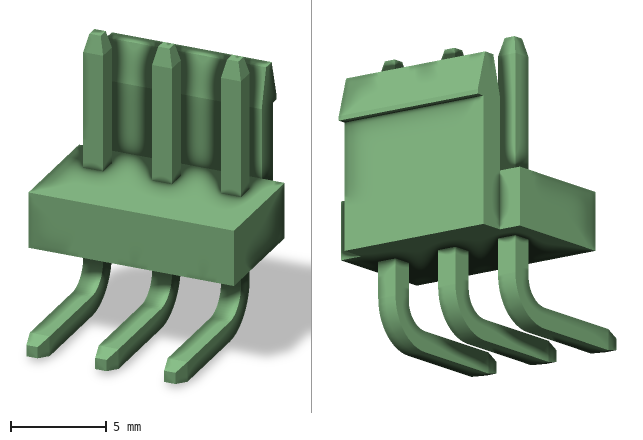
import cadquery as cq


pin_count = 3
pin_pitch = 3.96
pin_width = 1.15
pin_top = 10.9
pin_bottom = -4.56
pin_front = -8.5
tip_length = 1.0
tip_width = 0.65
bend_outer_radius = 2.55
bend_inner_radius = bend_outer_radius - pin_width
half_pin = pin_width / 2
pin_positions = [(i - (pin_count - 1) / 2) * pin_pitch for i in range(pin_count)]

base_length = 11.82
base_height = 3.2
base_front = -4.56
base_back = 2.0

latch_length = 9.19
latch_thickness = 1.42
latch_top = 9.4
latch_back = base_back + latch_thickness
barb_back = 3.91
barb_underside = 6.98
barb_edge_height = 0.25
slope_start = barb_underside + barb_edge_height
latch_top_front = 2.57
latch_top_back = 3.28


def tapered_tip(plane):
    """Square pyramid frustum rising along the normal of the plane."""
    return (
        cq.Workplane(plane)
        .rect(pin_width, pin_width)
        .workplane(offset=tip_length)
        .rect(tip_width, tip_width)
        .loft(combine=True)
    )


def make_pin(x):
    """Square right-angle pin with a tapered tip at each end."""
    shaft_top = pin_top - tip_length
    shaft_front = pin_front + tip_length
    bend_y = half_pin - bend_outer_radius
    bend_z = pin_bottom + bend_outer_radius
    leg_z = pin_bottom + half_pin
    diagonal = 0.5 ** 0.5
    outer_mid = bend_outer_radius * diagonal
    inner_mid = bend_inner_radius * diagonal

    shaft = (
        cq.Workplane("YZ")
        .moveTo(half_pin, shaft_top)
        .lineTo(half_pin, bend_z)
        .threePointArc((bend_y + outer_mid, bend_z - outer_mid), (bend_y, pin_bottom))
        .lineTo(shaft_front, pin_bottom)
        .lineTo(shaft_front, pin_bottom + pin_width)
        .lineTo(bend_y, pin_bottom + pin_width)
        .threePointArc((bend_y + inner_mid, bend_z - inner_mid), (-half_pin, bend_z))
        .lineTo(-half_pin, shaft_top)
        .close()
        .extrude(half_pin, both=True)
    )
    top_tip = tapered_tip(cq.Plane((0, 0, shaft_top), (1, 0, 0), (0, 0, 1)))
    front_tip = tapered_tip(cq.Plane((0, shaft_front, leg_z), (1, 0, 0), (0, -1, 0)))
    return shaft.union(top_tip).union(front_tip).translate((x, 0, 0))


def make_housing():
    """Base block with a barbed latch wall and a square through hole for each pin."""
    base = cq.Workplane("XY").box(
        base_length, base_back - base_front, base_height, centered=(True, False, False)
    ).translate((0, base_front, 0))
    latch = (
        cq.Workplane("YZ")
        .polyline([
            (base_back, 0),
            (latch_back, 0),
            (latch_back, barb_underside),
            (barb_back, barb_underside),
            (barb_back, slope_start),
            (latch_top_back, latch_top),
            (latch_top_front, latch_top),
            (base_back, slope_start),
        ])
        .close()
        .extrude(latch_length / 2, both=True)
    )
    pin_holes = (
        cq.Workplane("XY")
        .pushPoints([(x, 0) for x in pin_positions])
        .rect(pin_width, pin_width)
        .extrude(base_height)
    )
    return base.union(latch).cut(pin_holes)


housing = make_housing()
pins = [make_pin(x) for x in pin_positions]
result = cq.Compound.makeCompound([housing.val(), *[pin.val() for pin in pins]])